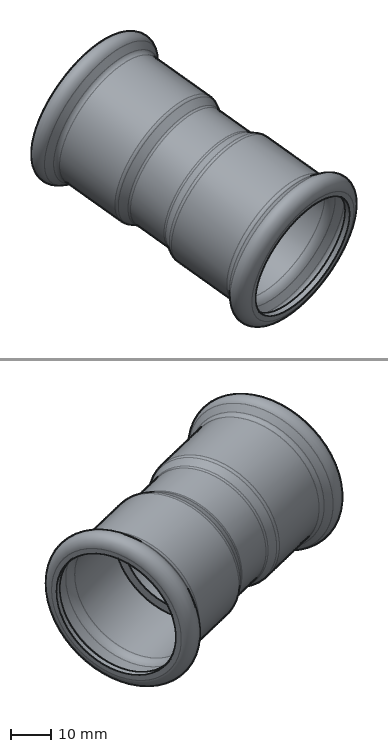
import cadquery as cq
import math

length = 72.0
tube_radius = 38.0 / 2
socket_radius = 35.0 / 2
waist_radius = 35.0 / 2
bore_radius = 29.8 / 2
wall = tube_radius - socket_radius

bead_radius = 3.1
bead_angle = math.radians(45)
bead_blend_radius = 2.0

neck_start = 26.65
neck_angle = math.radians(27)
neck_convex_radius = 2.0
neck_concave_radius = 1.5

stop_depth = neck_start


def arc_point(center, radius, angle):
    """Point on a circle; the angle runs from +Y toward +X."""
    return (center[0] + radius * math.sin(angle), center[1] + radius * math.cos(angle))


bead_center = (bead_radius, tube_radius)
tangent_offset = bead_radius + bead_blend_radius
center_run = (tangent_offset - bead_blend_radius * math.cos(bead_angle)) / math.sin(bead_angle)
blend_center = (bead_center[0] + center_run, tube_radius + bead_blend_radius)

groove_radius = bead_radius - wall
groove_blend_radius = bead_blend_radius + wall

convex_center = (neck_start, tube_radius - neck_convex_radius)
cone_start = arc_point(convex_center, neck_convex_radius, neck_angle)
cone_end_radius = waist_radius + neck_concave_radius * (1 - math.cos(neck_angle))
cone_end = (
    cone_start[0] + (cone_start[1] - cone_end_radius) / math.tan(neck_angle),
    cone_end_radius,
)
waist_start = cone_end[0] + neck_concave_radius * math.sin(neck_angle)
concave_center = (waist_start, waist_radius + neck_concave_radius)


def beaded_end():
    """Revolve one end, from its face at X = 0 to the waist, with the stop still solid."""
    profile = (
        cq.Workplane("XY")
        .moveTo(0, socket_radius)
        .lineTo(0, tube_radius)
        .threePointArc(
            arc_point(bead_center, bead_radius, -bead_angle),
            arc_point(bead_center, bead_radius, bead_angle),
        )
        .lineTo(*arc_point(blend_center, -bead_blend_radius, bead_angle))
        .threePointArc(
            arc_point(blend_center, -bead_blend_radius, bead_angle / 2),
            (blend_center[0], tube_radius),
        )
        .lineTo(neck_start, tube_radius)
        .threePointArc(arc_point(convex_center, neck_convex_radius, neck_angle / 2), cone_start)
        .lineTo(*cone_end)
        .threePointArc(
            arc_point(concave_center, -neck_concave_radius, neck_angle / 2),
            (waist_start, waist_radius),
        )
        .lineTo(waist_start, 0)
        .lineTo(stop_depth, 0)
        .lineTo(stop_depth, socket_radius)
        .lineTo(blend_center[0], socket_radius)
        .threePointArc(
            arc_point(blend_center, -groove_blend_radius, bead_angle / 2),
            arc_point(blend_center, -groove_blend_radius, bead_angle),
        )
        .lineTo(*arc_point(bead_center, groove_radius, bead_angle))
        .threePointArc(
            arc_point(bead_center, groove_radius, -bead_angle),
            (bead_center[0] - groove_radius, tube_radius),
        )
        .lineTo(bead_center[0] - groove_radius, socket_radius)
        .close()
    )
    return profile.revolve(360, (0, 0, 0), (1, 0, 0))


def centered_rod(radius, rod_length):
    """Cylinder along X, centered on the origin."""
    return cq.Workplane("YZ").circle(radius).extrude(rod_length / 2, both=True)


left_end = beaded_end().translate((-length / 2, 0, 0))
right_end = left_end.mirror("YZ")
waist = centered_rod(waist_radius, length - 2 * waist_start)
bore = centered_rod(bore_radius, length)

result = left_end.union(waist).union(right_end).cut(bore)